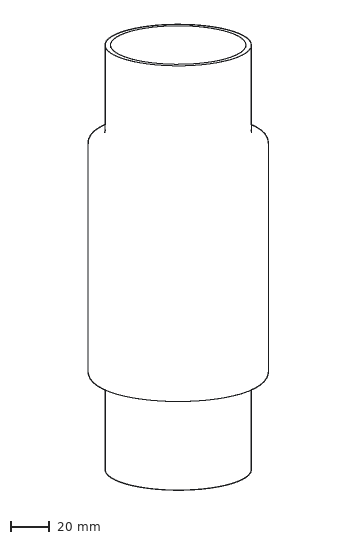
import cadquery as cq

length = 230.0
pipe_diameter = 76.1
bore_diameter = 70.4

sleeve_diameter = 93.8
sleeve_length = 130.2
edge_radius = 3.2
root_radius = 3.0


def cylinder(diameter, height):
    """Upright cylinder on the Z axis, centred halfway up the part."""
    bottom = (length - height) / 2
    return cq.Workplane("XY").workplane(offset=bottom).circle(diameter / 2).extrude(height)


pipe = cylinder(pipe_diameter, length)
sleeve = cylinder(sleeve_diameter, sleeve_length)
body = pipe.union(sleeve)

smallest_circles = cq.selectors.RadiusNthSelector(0)
body = body.edges(smallest_circles).edges("not(<Z or >Z)").fillet(root_radius)

largest_circles = cq.selectors.RadiusNthSelector(-1)
body = body.edges("%CIRCLE").edges(largest_circles).fillet(edge_radius)

result = body.cut(cylinder(bore_diameter, length))